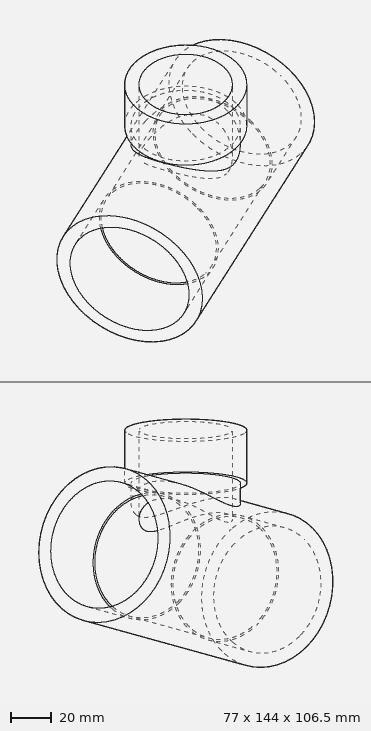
import cadquery as cq

run_length = 144.0
run_diameter = 77.0
run_bore_diameter = 60.9
run_socket_diameter = 63.0
run_socket_depth = 37.5

overall_height = 106.5
collar_diameter = 59.8
collar_height = 26.4
neck_diameter = 53.4
branch_bore_diameter = 45.6

branch_top = overall_height - run_diameter / 2
collar_bottom = branch_top - collar_height


def cylinder_along_y(diameter, y_start, length):
    return cq.Workplane("XZ", origin=(0, y_start, 0)).circle(diameter / 2).extrude(-length)


def cylinder_along_z(diameter, z_start, z_end):
    return cq.Workplane("XY", origin=(0, 0, z_start)).circle(diameter / 2).extrude(z_end - z_start)


run = cylinder_along_y(run_diameter, -run_length / 2, run_length)
neck = cylinder_along_z(neck_diameter, 0, collar_bottom)
collar = cylinder_along_z(collar_diameter, collar_bottom, branch_top)
body = run.union(neck).union(collar)

body = body.cut(cylinder_along_y(run_bore_diameter, -run_length / 2, run_length))
body = body.cut(cylinder_along_z(branch_bore_diameter, 0, branch_top))

for socket_start in (-run_length / 2, run_length / 2 - run_socket_depth):
    body = body.cut(cylinder_along_y(run_socket_diameter, socket_start, run_socket_depth))

result = body